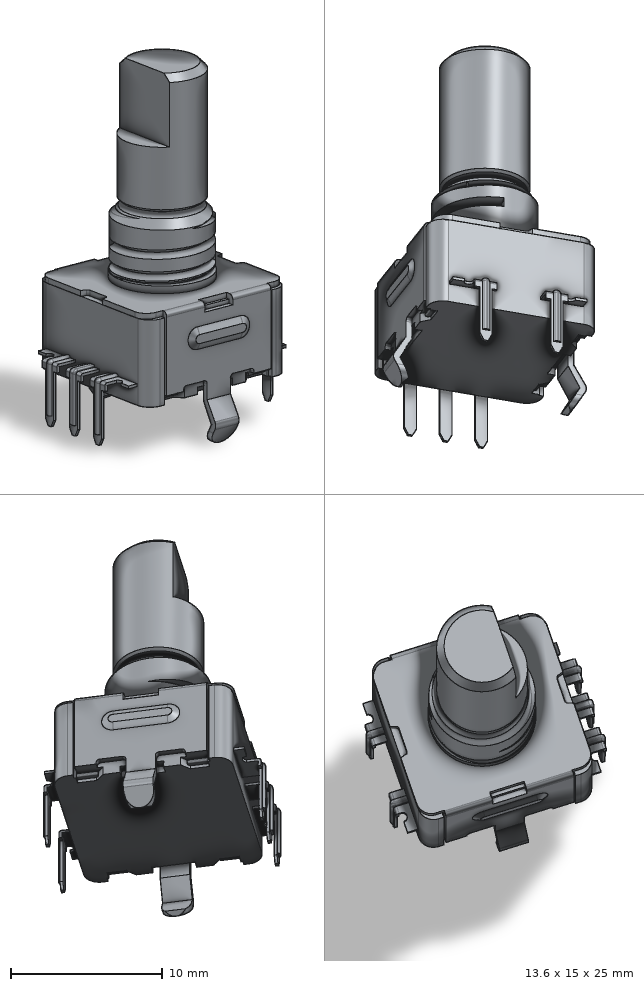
import cadquery as cq
import math


sheet = 0.4
body_x = 11.65
body_y = 12.0
cover_top = 6.48
body_top = cover_top - sheet
corner_radius = 1.05

plate_x = 11.0
plate_y = 12.05
plate_corner_radius = 1.0
flange_inner = plate_x / 2
flange_outer = flange_inner + sheet
flange_half_width = 4.45
flange_gap = 0.13
flange_bottom = 0.63
flange_bend_radius = 0.35

foot_inner, foot_outer = 1.48, 2.6
foot_recess_depth = 0.55
inner_recess_top = 0.5
foot_bar_thickness = 0.35
foot_bar_bottom, foot_bar_top = 0.25, 0.55
foot_bar_radius = 0.13

clip_half_width = 1.0
clip_slot_end = 3.0
clip_slot_top = 1.0
clip_slot_radius = 0.25
clip_knee_x = 6.88
clip_knee_radius = 0.53
clip_tip_z = -3.53
clip_outer_corners = [(flange_outer, -0.38), (clip_knee_x, -1.98), (5.95, clip_tip_z)]
clip_inner_corners = [(5.63, -3.25), (6.33, -2.0), (flange_inner, -0.53)]

edge_notch_depth = 0.53
edge_notch_mouth = 2.3
edge_notch_floor = 1.95
edge_notch_radius = 0.2
side_notch_width = 2.38
side_notch_inner = 5.25
side_notch_floor = 5.78

bead_length, bead_width, bead_height = 5.25, 1.58, 0.25
bead_floor_width = 0.63
bead_z = 4.1

collar_radius, collar_top = 3.58, 7.0
bushing_radius, bushing_top = 3.53, 11.48
bushing_chamfer = 0.6
thread_pitch = 0.75
thread_depth = 0.5
thread_half_width = 0.33
lead_in_turns = 0.15
thread_starts = ((6.8, -90, 1.4), (9.0, 235, 0.6), (10.88, 50, 0.9))

neck_radius = 1.5
shaft_radius, shaft_bottom, shaft_top = 3.0, 11.95, 21.48
shaft_top_chamfer, shaft_bottom_chamfer = 0.5, 0.18
flat_length = 5.0
flat_offset = 1.5

lead_pitch = 2.5
lead_sheet = 0.2
lead_top, lead_tip = 1.5, -3.0
lead_width, lead_tip_width = 0.85, 0.3
lead_taper_length = 0.5
pad_width, pad_bottom = 1.55, 0.9
front_reach = 7.58
rear_reach = 7.05
rib_width, rib_height, rib_bottom = 0.55, 0.163, -2.23
rib_bend_radius = 0.3
flat_rib_edge_radius = 0.13
round_rib_edge_radius = 0.25
tab_end_x, tab_reach = 4.7, 6.73
tab_notch_x, tab_notch_radius = 3.58, 0.33

overlap = 0.13


def box(x0, x1, y0, y1, z0, z1):
    """Axis-aligned block between the given limits."""
    return cq.Workplane("XY").box(x1 - x0, y1 - y0, z1 - z0, centered=False).translate((x0, y0, z0))


def both_sides(shape):
    """A shape on the +X side together with its mirror image on the -X side."""
    return shape.union(shape.mirror("YZ"))


def cylinder(radius, bottom, top):
    return cq.Workplane("XY").workplane(offset=bottom).circle(radius).extrude(top - bottom)


def make_body():
    """Moulded block with its sides set back to receive the cover flanges."""
    body = cq.Workplane("XY").rect(body_x, body_y).extrude(body_top).edges("|Z").fillet(corner_radius)
    half_gap = flange_half_width + flange_gap
    side = box(flange_inner, body_x, -half_gap, half_gap, 0, body_top)
    recess_floor = flange_inner - foot_recess_depth
    side = side.union(box(recess_floor, flange_inner, -foot_inner, foot_inner, 0, inner_recess_top))
    recess = (
        cq.Workplane("XY")
        .polyline([
            (flange_inner, foot_outer),
            (recess_floor, foot_outer + foot_recess_depth),
            (recess_floor, flange_half_width),
            (flange_inner, flange_half_width),
        ])
        .close().extrude(flange_bottom)
    )
    bar = box(recess_floor, recess_floor + foot_bar_thickness, clip_slot_end, flange_half_width,
              foot_bar_bottom, foot_bar_top)
    recess = recess.cut(bar.edges("|Y and >X").fillet(foot_bar_radius))
    side = side.union(recess).union(recess.mirror("XZ"))
    return body.cut(both_sides(side))


def make_plate():
    """Flat top of the cover with a keying notch in its front and rear edges."""
    plate = cq.Workplane("XY").workplane(offset=body_top).rect(plate_x, plate_y).extrude(sheet)
    plate = plate.edges("|Z").fillet(plate_corner_radius)
    edge = plate_y / 2
    notch = (
        cq.Workplane("XY").workplane(offset=body_top)
        .polyline([
            (-edge_notch_mouth / 2, edge),
            (edge_notch_mouth / 2, edge),
            (edge_notch_floor / 2, edge - edge_notch_depth),
            (-edge_notch_floor / 2, edge - edge_notch_depth),
        ])
        .close().extrude(sheet)
        .edges("|Z and <Y").fillet(edge_notch_radius)
    )
    return plate.cut(notch).cut(notch.mirror("XZ"))


def make_flange():
    """Cover flange on the +X side, slotted at both sides of the clip and beaded."""
    flange = box(flange_inner - overlap, flange_outer, -flange_half_width, flange_half_width,
                 flange_bottom, cover_top)
    flange = flange.edges("|Y and >X and >Z").fillet(flange_bend_radius)
    slot = box(flange_inner - overlap, flange_outer, clip_half_width, clip_slot_end, 0, clip_slot_top)
    slot = slot.edges("|X and >Z").fillet(clip_slot_radius)
    flange = flange.cut(slot).cut(slot.mirror("XZ"))
    bead_taper = math.degrees(math.atan((bead_width - bead_floor_width) / 2 / bead_height))
    bead = (
        cq.Workplane("YZ").workplane(offset=flange_outer).center(0, bead_z)
        .slot2D(bead_length, bead_width).extrude(bead_height, taper=bead_taper)
    )
    return flange.union(bead)


def make_clip():
    """Spring clip hanging from the +X flange: kinked outwards, with a round tip."""
    root_z = clip_slot_top + overlap
    roots = [(flange_inner, root_z), (flange_outer, root_z)]
    profile = roots + clip_outer_corners + clip_inner_corners
    strip = cq.Workplane("XZ").polyline(profile).close().extrude(clip_half_width, both=True)
    round_center = clip_tip_z + clip_half_width
    strip = strip.edges("|Y and >X").fillet(clip_knee_radius)
    outline = (
        cq.Workplane("YZ")
        .moveTo(-clip_half_width, root_z)
        .lineTo(clip_half_width, root_z)
        .lineTo(clip_half_width, round_center)
        .threePointArc((0, clip_tip_z), (-clip_half_width, round_center))
        .close().extrude(clip_knee_x)
    )
    return strip.intersect(outline)


def make_side_notch():
    """Stepped notch through the bend of the +X flange, down to the body top inside it."""
    half = side_notch_width / 2
    upper = box(side_notch_inner, flange_outer, -half, half, body_top, cover_top)
    lower = box(flange_inner, flange_outer, -half, half, side_notch_floor, cover_top)
    return upper.union(lower)


def sweep_groove(path, radius):
    """V groove swept along a helix that starts on the +X axis at the given radius."""
    root = radius - thread_depth
    mouth = radius + overlap
    mouth_half = thread_half_width * (1 + overlap / thread_depth)
    profile = cq.Workplane("XZ").polyline([(root, 0), (mouth, mouth_half), (mouth, -mouth_half)]).close()
    return profile.sweep(cq.Workplane(obj=path), isFrenet=True)


def thread_groove(start_z, start_angle, turns):
    """Groove rising counter-clockwise, led in along a short conical helix that sinks to full depth."""
    lead_in_rise = lead_in_turns * thread_pitch
    slant = math.hypot(lead_in_rise, thread_depth) / lead_in_rise
    cone_angle = math.degrees(math.atan(thread_depth / lead_in_rise))
    outside = bushing_radius + thread_depth
    cone = cq.Wire.makeHelix(thread_pitch * slant, lead_in_rise * slant, outside, angle=-cone_angle)
    helix = cq.Wire.makeHelix(thread_pitch, turns * thread_pitch, bushing_radius)
    lead_in = sweep_groove(cone, outside).translate((0, 0, -lead_in_rise))
    lead_in = lead_in.rotate((0, 0, 0), (0, 0, 1), -360 * lead_in_turns)
    return [
        piece.rotate((0, 0, 0), (0, 0, 1), start_angle).translate((0, 0, start_z))
        for piece in (lead_in, sweep_groove(helix, bushing_radius))
    ]


def make_bushing():
    """Bushing with three separate thread grooves above a plain collar."""
    bushing = cylinder(bushing_radius, body_top, bushing_top).faces(">Z").chamfer(bushing_chamfer)
    for start_z, start_angle, turns in thread_starts:
        for piece in thread_groove(start_z, start_angle, turns):
            bushing = bushing.cut(piece)
    return bushing.union(cylinder(collar_radius, body_top, collar_top))


def make_shaft():
    """Shaft with a flat facing -Y, standing on a thinner neck."""
    shaft = cylinder(shaft_radius, shaft_bottom, shaft_top)
    shaft = shaft.faces(">Z").chamfer(shaft_top_chamfer).faces("<Z").chamfer(shaft_bottom_chamfer)
    flat = box(-shaft_radius, shaft_radius, -shaft_radius, -flat_offset, shaft_top - flat_length, shaft_top)
    return shaft.cut(flat).union(cylinder(neck_radius, bushing_top - overlap, shaft_bottom + overlap))


def make_lead(x, reach, tab_side):
    """Bent lead leaving the +Y face; tab_side is +1 or -1 for a side tab, 0 for none."""
    start = body_y / 2 - overlap
    outer_edge = "|X and >Y and >Z"
    pad = box(-pad_width / 2, pad_width / 2, start, reach, pad_bottom, lead_top)
    pad = pad.edges(outer_edge).fillet(lead_sheet)
    pad = pad.cut(box(-pad_width, pad_width, start, reach - lead_sheet, pad_bottom, lead_top - lead_sheet))
    taper_z = lead_tip + lead_taper_length
    pin = (
        cq.Workplane("XZ").workplane(offset=-reach)
        .polyline([
            (-lead_width / 2, pad_bottom + overlap),
            (lead_width / 2, pad_bottom + overlap),
            (lead_width / 2, taper_z),
            (lead_tip_width / 2, lead_tip),
            (-lead_tip_width / 2, lead_tip),
            (-lead_width / 2, taper_z),
        ])
        .close().extrude(lead_sheet)
    )
    rib_top, rib_reach = lead_top + rib_height, reach + rib_height
    rib = box(-rib_width / 2, rib_width / 2, start, rib_reach, rib_bottom, rib_top)
    edge_radius = round_rib_edge_radius if tab_side else flat_rib_edge_radius
    rib = rib.edges(outer_edge).fillet(rib_bend_radius)
    rib = rib.faces(">Y or >Z").edges("|Y or |Z").edges("<X or >X").fillet(edge_radius)
    hollow_y, hollow_z = reach - lead_sheet / 2, lead_top - lead_sheet / 2
    rib = rib.cut(box(-rib_width, rib_width, start, hollow_y, rib_bottom, hollow_z))
    lead = pad.union(pin).union(rib).translate((x, 0, 0))
    if tab_side:
        tab = box(lead_pitch, tab_end_x, start, tab_reach, lead_top - lead_sheet, lead_top)
        notch = cylinder(tab_notch_radius, lead_top - lead_sheet, lead_top)
        tab = tab.cut(notch.translate((tab_notch_x, tab_reach, 0)))
        lead = lead.union(tab if tab_side > 0 else tab.mirror("YZ"))
    return lead


result = make_body().union(make_plate())
result = result.union(both_sides(make_flange())).union(both_sides(make_clip()))
result = result.cut(both_sides(make_side_notch()))
result = result.union(make_bushing()).union(make_shaft())

for side in (-1, 1):
    result = result.union(make_lead(side * lead_pitch, rear_reach, side))
for side in (-1, 0, 1):
    result = result.union(make_lead(side * lead_pitch, front_reach, side).mirror("XZ"))